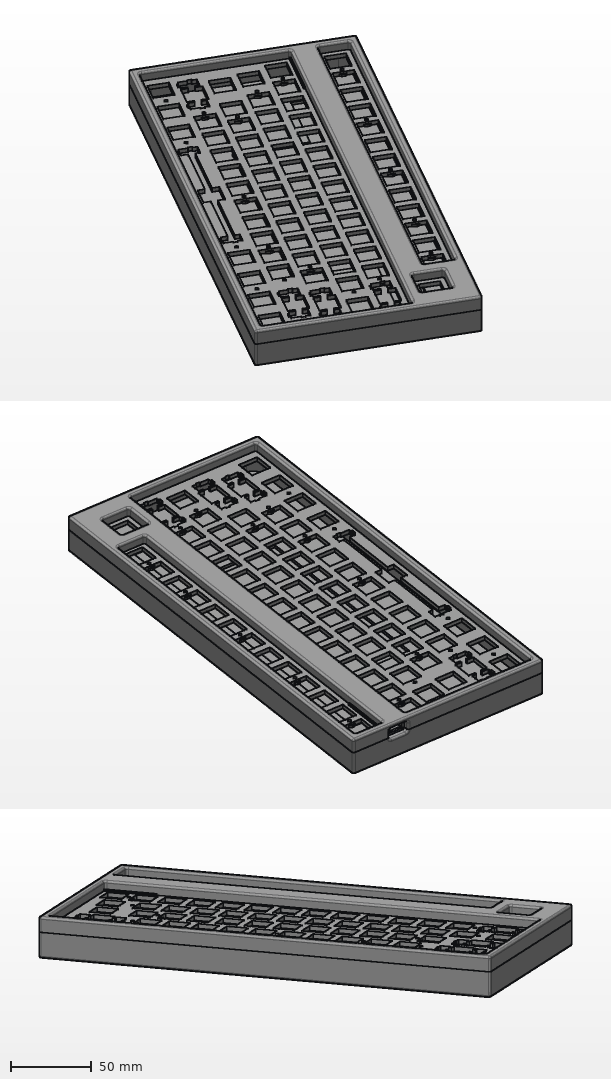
import cadquery as cq
CASE_X = 298.53
CASE_Y = 146.13
CASE_Z = 26.6
SPLIT_Z = 16.6
EDGE_RADIUS = 1.5

UNIT = 19.05
KEY_HOLE = 14.0
FIRST_KEY_X = -7 * UNIT
ROW_Y = {
    "function": 3 * UNIT,
    "number": UNIT,
    "top": 0,
    "home": -UNIT,
    "shift": -2 * UNIT,
    "space": -3 * UNIT,
}

KEY_COLUMNS = {
    "function": range(13),
    "number": [*range(13), 13.5],
    "top": [0.25, *(1.5 + key for key in range(12)), 13.75],
    "home": [0.375, *(1.75 + key for key in range(11)), 13.375],
    "shift": [0.625, *(2.25 + key for key in range(10)), 13.125],
    "space": [0.125, 1.375, 2.625, 6.375, 10.125, 11.375, 12.625, 13.875],
}

SHORT_STABILISER = 11.94
SPACE_STABILISER = 50.0
STABILISED_KEYS = [
    ("number", 13.5, SHORT_STABILISER),
    ("home", 13.375, SHORT_STABILISER),
    ("shift", 0.625, SHORT_STABILISER),
    ("shift", 13.125, SHORT_STABILISER),
    ("space", 6.375, SPACE_STABILISER),
]
STABILISER_WIDTH = 6.65
STABILISER_TOP = 5.53
STABILISER_BOTTOM = -6.77
STABILISER_TAB_WIDTH = 3.2
STABILISER_TAB_DEPTH = 1.2
STABILISER_NOTCH_DEPTH = 0.83
STABILISER_NOTCH_HEIGHT = 2.8
STABILISER_NOTCH_Y = 0.9
STABILISER_WIRE_SLOT = 4.6

PLATE_TOP_Z = 20.0
PLATE_BOTTOM_Z = 17.0
SCREW_COLUMNS = {
    "function": [0.5, 3.5, 6.5, 9.5, 11.5],
    "number": [0.5, 12.5],
    "top": [1, 13],
    "home": [2.25, 11.25],
    "shift": [1.75, 6.75, 9.75, 11.75],
    "space": [0.75, 3.25, 9.5, 12],
}
SCREW_HOLE = 2.15
SCREW_BOSS = 7.0
SCREW_BOSS_TOP_Z = 18.5

CLEARANCE = 1.0
OPENING_CORNER = 1.5
ENCODER_X = FIRST_KEY_X + 13.5 * UNIT
ENCODER_Y = 2.5 * UNIT

WALL = 5.8
PORT_Y = 2 * UNIT
PORT_Z = 19.0
PORT_RECESS_Y = 14.2
PORT_RECESS_Z = 8.0
PORT_RECESS_DEPTH = 4.0
PORT_OPENING_Y = 10.4
PORT_OPENING_TOP_Z = 21.2
PORT_COVER_END_X = -109.3
PORT_COVER_Y = 19.0
PORT_COVER_HEIGHT = 1.0
PORT_COVER_OVERLAP = 0.5

FLOOR_Z = 7.0
CAVITY_CORNER = 7.35
POCKET_Z = 5.0
POCKET_X = (-70.2, 70.5)
POCKET_FRONT_Y = -28.0
POCKET_CORNER = 3.0
CHANNEL_X = 115.4
CHANNEL_LEFT_Y = 22.0
CHANNEL_RIGHT_Y = 26.3
CHANNEL_BACK_Y = 48.0


def block(x, y, z):
    """Box between the pairs of limits x, y and z."""
    size = [high - low for low, high in (x, y, z)]
    return cq.Workplane("XY").box(*size, centered=False).translate((x[0], y[0], z[0]))


def around(centre, size):
    return (centre - size / 2, centre + size / 2)


def column_x(column):
    return FIRST_KEY_X + column * UNIT


def places(columns_by_row):
    return [(column_x(c), ROW_Y[row]) for row, columns in columns_by_row.items() for c in columns]


def top_opening(left, right, front, back):
    """Round-cornered opening from the top face down to the plate."""
    return block((left, right), (front, back), (PLATE_TOP_Z, CASE_Z)).edges("|Z").fillet(OPENING_CORNER)


def top_openings():
    """Openings for the function row, the main keys and the encoder."""
    reach = UNIT / 2 + CLEARANCE
    left = column_x(0) - reach
    function_row = top_opening(
        left, column_x(12) + UNIT / 2, ROW_Y["function"] - reach, ROW_Y["function"] + reach
    )
    main_keys = top_opening(left, column_x(14) + reach, ROW_Y["space"] - reach, ROW_Y["number"] + reach)
    encoder = top_opening(ENCODER_X - reach, ENCODER_X + reach, ENCODER_Y - reach, ENCODER_Y + reach)
    return [function_row, main_keys, encoder]


def port_recess():
    x = (-CASE_X / 2, -CASE_X / 2 + PORT_RECESS_DEPTH)
    recess = block(x, around(PORT_Y, PORT_RECESS_Y), around(PORT_Z, PORT_RECESS_Z))
    return recess.edges("|X").fillet(OPENING_CORNER)


def port_rim():
    """Selects the edges where the port recess meets the outer wall."""
    reach_y = PORT_RECESS_Y / 2 + 1
    reach_z = PORT_RECESS_Z / 2 + 1
    return cq.selectors.BoxSelector(
        (-CASE_X / 2 - 1, PORT_Y - reach_y, PORT_Z - reach_z),
        (-CASE_X / 2 + 1, PORT_Y + reach_y, PORT_Z + reach_z),
    )


def case_block():
    """Outer shape of both housings together, with rounded edges, openings and port recess."""
    case = block(around(0, CASE_X), around(0, CASE_Y), (0, CASE_Z))
    case = case.edges("|Z").fillet(EDGE_RADIUS)
    for opening in top_openings():
        case = case.cut(opening)
    case = case.faces(">Z").edges().fillet(EDGE_RADIUS)
    case = case.faces("<Z").edges().fillet(EDGE_RADIUS)
    case = case.cut(port_recess())
    return case.edges(port_rim()).fillet(EDGE_RADIUS)


def case_slice(case, bottom, top):
    return case.intersect(block(around(0, CASE_X), around(0, CASE_Y), (bottom, top)))


def inner_cavity():
    """Hollow from the floor of the lower housing up to the plate."""
    x = around(0, CASE_X - 2 * WALL)
    y = around(0, CASE_Y - 2 * WALL)
    return block(x, y, (FLOOR_Z, PLATE_BOTTOM_Z)).edges("|Z").fillet(CAVITY_CORNER)


def key_holes():
    return (
        cq.Workplane("XY", origin=(0, 0, PLATE_BOTTOM_Z))
        .pushPoints(places(KEY_COLUMNS) + [(ENCODER_X, ENCODER_Y)])
        .rect(KEY_HOLE, KEY_HOLE)
        .extrude(CASE_Z - PLATE_BOTTOM_Z)
    )


def stabiliser_cutout(row, column, reach):
    """Two stabiliser holes, each with a tab and an outer notch, joined by the wire slot."""
    z = (PLATE_BOTTOM_Z, CASE_Z)
    cutout = block(around(0, 2 * reach), around(0, STABILISER_WIRE_SLOT), z)
    body_y = (STABILISER_BOTTOM, STABILISER_TOP)
    tab_y = (STABILISER_BOTTOM - STABILISER_TAB_DEPTH, STABILISER_BOTTOM)
    notch_y = around(STABILISER_NOTCH_Y, STABILISER_NOTCH_HEIGHT)
    for side in (-1, 1):
        centre = side * reach
        outer_edge = centre + side * STABILISER_WIDTH / 2
        cutout = cutout.union(block(around(centre, STABILISER_WIDTH), body_y, z))
        cutout = cutout.union(block(around(centre, STABILISER_TAB_WIDTH), tab_y, z))
        cutout = cutout.union(block(around(outer_edge, 2 * STABILISER_NOTCH_DEPTH), notch_y, z))
    return cutout.translate((column_x(column), ROW_Y[row], 0))


def screw_cylinders(diameter, top):
    """Cylinders at every screw, from the underside of the plate up to top."""
    return (
        cq.Workplane("XY", origin=(0, 0, PLATE_BOTTOM_Z))
        .pushPoints(places(SCREW_COLUMNS))
        .circle(diameter / 2)
        .extrude(top - PLATE_BOTTOM_Z)
    )


def port_opening():
    x = (-CASE_X / 2, -CASE_X / 2 + 2 * WALL)
    return block(x, around(PORT_Y, PORT_OPENING_Y), (SPLIT_Z, PORT_OPENING_TOP_Z))


def port_cover():
    """Low step on the plate, either side of the bar between the openings."""
    x = (-CASE_X / 2 + WALL - PORT_COVER_OVERLAP, PORT_COVER_END_X)
    return block(x, around(PORT_Y, PORT_COVER_Y), (PLATE_TOP_Z, PLATE_TOP_Z + PORT_COVER_HEIGHT))


def floor_pocket():
    """Pocket in the cavity floor, widened at the back by a channel to each side."""
    z = (POCKET_Z, FLOOR_Z)
    pocket = block(POCKET_X, (POCKET_FRONT_Y, CHANNEL_BACK_Y), z)
    pocket = pocket.union(block((-CHANNEL_X, 0), (CHANNEL_LEFT_Y, CHANNEL_BACK_Y), z))
    pocket = pocket.union(block((0, CHANNEL_X), (CHANNEL_RIGHT_Y, CHANNEL_BACK_Y), z))
    right_corner = cq.selectors.BoxSelector(
        (POCKET_X[1] - 1, CHANNEL_RIGHT_Y - 1, 0), (POCKET_X[1] + 1, CHANNEL_RIGHT_Y + 1, CASE_Z)
    )
    return pocket.edges("|Z").edges(right_corner).fillet(POCKET_CORNER)


def upper_housing(case):
    upper = case_slice(case, SPLIT_Z, CASE_Z)
    upper = upper.union(port_cover())
    upper = upper.cut(inner_cavity())
    upper = upper.cut(key_holes())
    for key in STABILISED_KEYS:
        upper = upper.cut(stabiliser_cutout(*key))
    upper = upper.union(screw_cylinders(SCREW_BOSS, SCREW_BOSS_TOP_Z))
    upper = upper.cut(screw_cylinders(SCREW_HOLE, CASE_Z))
    return upper.cut(port_opening())


def lower_housing(case):
    lower = case_slice(case, 0, SPLIT_Z)
    lower = lower.cut(inner_cavity())
    return lower.cut(floor_pocket())


case = case_block()
upper = upper_housing(case)
lower = lower_housing(case)

result = cq.Compound.makeCompound([*upper.vals(), *lower.vals()])